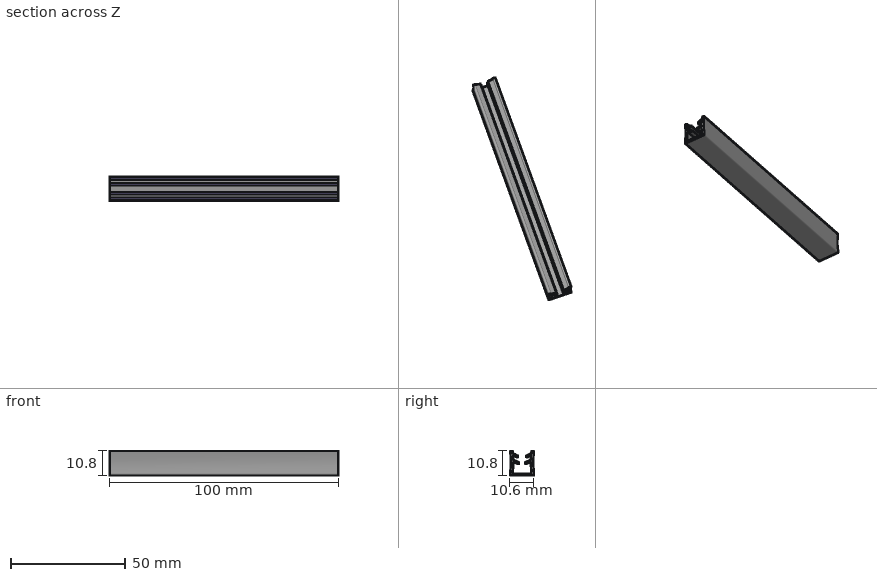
import cadquery as cq
import math

LENGTH = 100.0
WIDTH = 10.6
HEIGHT = 10.8

WALL = 1.2
FLOOR = 1.0
OUTER_RADIUS = 0.5
INNER_RADIUS = 0.4

BOW_DEPTH = 0.36

FIN_THICKNESS = 0.85
FIN_SLOPE = math.radians(25)
FIN_ROOT_RADIUS = 0.2
UPPER_FIN_TIP = 1.8
UPPER_FIN_ROOT = 9.3
LOWER_FIN_TIP = 1.3
LOWER_FIN_ROOT = 6.6

HALF_WIDTH = WIDTH / 2
INNER_HALF = HALF_WIDTH - WALL
BOW_MIDDLE = (FLOOR + HEIGHT) / 2


def extrude_profile(profile):
    """Extrude a YZ profile over the full length, centred on X = 0."""
    return profile.extrude(LENGTH / 2, both=True)


def bowed_block(half_width):
    """Block from the floor to the full height, with both sides bowed inward."""
    profile = (
        cq.Workplane("YZ")
        .moveTo(-half_width, FLOOR)
        .lineTo(half_width, FLOOR)
        .threePointArc((half_width - BOW_DEPTH, BOW_MIDDLE), (half_width, HEIGHT))
        .lineTo(-half_width, HEIGHT)
        .threePointArc((BOW_DEPTH - half_width, BOW_MIDDLE), (-half_width, FLOOR))
        .close()
    )
    return extrude_profile(profile)


def fillet_inner_edges(body, z_low, z_high, radius):
    """Round the lengthwise edges on the inner faces of both walls between two heights."""
    reach_y = INNER_HALF + WALL / 4
    edge_box = cq.selectors.BoxSelector((-LENGTH, -reach_y, z_low), (LENGTH, reach_y, z_high))
    return body.edges("|X").edges(edge_box).fillet(radius)


def make_channel():
    """U-shaped channel, open upward, with rounded long edges."""
    floor = cq.Workplane("XY").box(LENGTH, WIDTH, FLOOR, centered=(True, True, False))
    outside = floor.union(bowed_block(HALF_WIDTH))
    for end_face in ("<Z", ">Z"):
        outside = outside.faces(end_face).edges("|X").fillet(OUTER_RADIUS)
    channel = outside.cut(bowed_block(INNER_HALF))
    return fillet_inner_edges(channel, HEIGHT - INNER_RADIUS, HEIGHT + INNER_RADIUS, INNER_RADIUS)


def make_fin(tip_y, root_z):
    """Fin on the +Y wall, rooted inside the wall at the given height."""
    length = (INNER_HALF - tip_y) / math.cos(FIN_SLOPE)
    half = FIN_THICKNESS / 2
    embed = WALL / 2
    profile = (
        cq.Workplane("YZ", origin=(0, INNER_HALF, root_z))
        .transformed(rotate=(0, 0, math.degrees(FIN_SLOPE)))
        .moveTo(embed, -half)
        .lineTo(embed, half)
        .lineTo(half - length, half)
        .threePointArc((-length, 0), (half - length, -half))
        .close()
    )
    return extrude_profile(profile)


def add_fin_pair(body, tip_y, root_z):
    """Add a fin to each wall and round the corner between its upper side and the wall."""
    fin = make_fin(tip_y, root_z)
    with_fins = body.union(fin).union(fin.mirror("XZ"))
    corner_high = root_z + FIN_THICKNESS / 2 / math.cos(FIN_SLOPE)
    corner_low = corner_high - BOW_DEPTH
    return fillet_inner_edges(with_fins, corner_low, corner_high, FIN_ROOT_RADIUS)


result = make_channel()
result = add_fin_pair(result, LOWER_FIN_TIP, LOWER_FIN_ROOT)
result = add_fin_pair(result, UPPER_FIN_TIP, UPPER_FIN_ROOT)